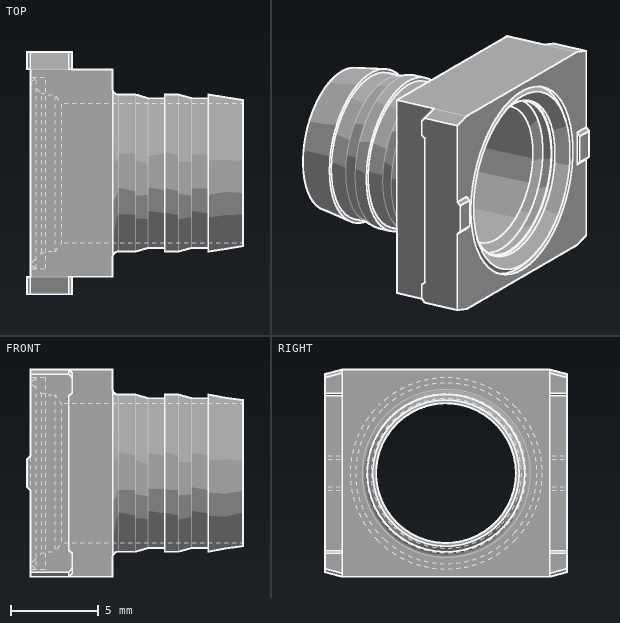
import cadquery as cq


overall_length = 12.4
overall_width = 13.9
block_size = 11.9
half_block = block_size / 2
block_back = 4.73
tab_height = 0.2
tube_end = overall_length - tab_height

ear_reach = (overall_width - block_size) / 2
ear_depth = 2.21
ear_corner_drop = 0.26
foot_height = 0.2
recess_half_height = 4.45
recess_flare = 0.14
tab_half_base = 0.99
tab_half_tip = tab_half_base - tab_height

barb_radius = 4.52
neck_radius = 4.31
tip_radius = 4.2
root_fillet = 0.3
collar_end = 1.3
first_neck_start = 2.02
middle_barb_start = 2.97
middle_barb_end = 3.75
second_neck_start = 4.52
end_barb_start = 5.48

bore_radius = 4.0
counterbore_radius = 4.5
counterbore_end = 1.4
bore_cone_end = 1.77

ring_radius = 5.5
ring_lip_radius = 5.2
ring_bevel_depth = ring_radius - ring_lip_radius
ring_inner_radius = 4.57
ring_cone_depth = ring_lip_radius - ring_inner_radius
ring_depth = 0.85


def revolve_about_x(points):
    """Solid of revolution about X from an outline of (x, radius) points."""
    return cq.Workplane("XY").polyline(points).close().revolve(360, (0, 0, 0), (1, 0, 0))


def make_ear():
    """Ear on the +Y side of the block."""
    outer = half_block + ear_reach
    outer_half_height = half_block - ear_corner_drop
    ear = (
        cq.Workplane("YZ")
        .polyline([
            (half_block, -half_block),
            (outer, -outer_half_height),
            (outer, outer_half_height),
            (half_block, half_block),
        ])
        .close()
        .extrude(ear_depth + foot_height)
    )
    ear = ear.faces(">X").edges(">Z or <Z").chamfer(foot_height)

    recess = (
        cq.Workplane("XZ", origin=(0, outer, 0))
        .polyline([
            (ear_depth, -recess_half_height),
            (ear_depth + foot_height, -recess_half_height - recess_flare),
            (ear_depth + foot_height, recess_half_height + recess_flare),
            (ear_depth, recess_half_height),
        ])
        .close()
        .extrude(ear_reach)
    )

    tab = (
        cq.Workplane("XZ", origin=(0, outer, 0))
        .polyline([
            (0, -tab_half_base),
            (-tab_height, -tab_half_tip),
            (-tab_height, tab_half_tip),
            (0, tab_half_base),
        ])
        .close()
        .extrude(ear_reach)
    )
    return ear.cut(recess).union(tab)


def make_tube():
    """Solid tube with two necks between its barbs and a fillet at its root."""
    fillet_bulge = root_fillet * (1 - 0.5 ** 0.5)
    return (
        cq.Workplane("XY")
        .moveTo(block_back, 0)
        .lineTo(block_back, barb_radius + root_fillet)
        .threePointArc(
            (block_back + fillet_bulge, barb_radius + fillet_bulge),
            (block_back + root_fillet, barb_radius),
        )
        .lineTo(block_back + collar_end, barb_radius)
        .lineTo(block_back + first_neck_start, neck_radius)
        .lineTo(block_back + middle_barb_start, neck_radius)
        .lineTo(block_back + middle_barb_start, barb_radius)
        .lineTo(block_back + middle_barb_end, barb_radius)
        .lineTo(block_back + second_neck_start, neck_radius)
        .lineTo(block_back + end_barb_start, neck_radius)
        .lineTo(block_back + end_barb_start, barb_radius)
        .lineTo(tube_end, tip_radius)
        .lineTo(tube_end, 0)
        .close()
        .revolve(360, (0, 0, 0), (1, 0, 0))
    )


def make_housing():
    """Block, ears and tube in one piece, bored through and recessed for the seat ring."""
    block = cq.Workplane("XY").box(block_back, block_size, block_size, centered=(False, True, True))
    ear = make_ear()
    bore = revolve_about_x([
        (0, 0),
        (0, ring_radius),
        (ring_depth, ring_radius),
        (ring_depth, counterbore_radius),
        (counterbore_end, counterbore_radius),
        (bore_cone_end, bore_radius),
        (tube_end, bore_radius),
        (tube_end, 0),
    ])
    return block.union(ear).union(ear.mirror("XZ")).union(make_tube()).cut(bore)


def make_seat_ring():
    """Ring with a beveled outer edge and a conical mouth."""
    return revolve_about_x([
        (0, ring_lip_radius),
        (ring_bevel_depth, ring_radius),
        (ring_depth, ring_radius),
        (ring_depth, ring_inner_radius),
        (ring_cone_depth, ring_inner_radius),
    ])


housing = make_housing()
seat_ring = make_seat_ring()

result = cq.Compound.makeCompound([housing.solids().val(), seat_ring.val()])